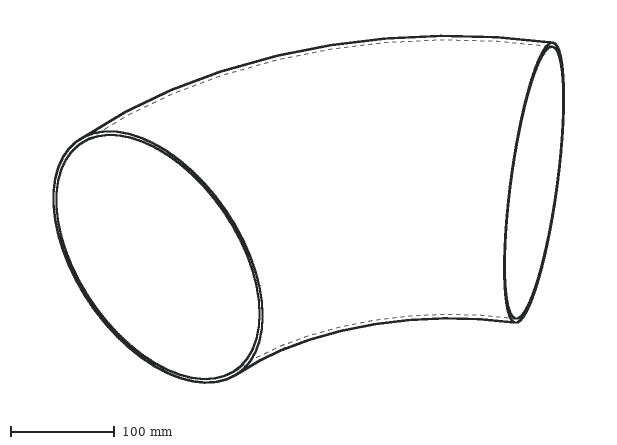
import cadquery as cq
import math

overall_length = 448.0
outer_diameter = 273.0
wall_thickness = 4.0
bend_angle = 60.0

outer_radius = outer_diameter / 2
inner_radius = outer_radius - wall_thickness
bend_radius = overall_length / math.sin(math.radians(bend_angle)) - outer_radius


def make_elbow():
    """Sweep the pipe ring about a Z-parallel axis on the +X side of the inlet."""
    ring = cq.Workplane("XZ").circle(outer_radius).circle(inner_radius)
    return ring.revolve(bend_angle, (bend_radius, 0), (bend_radius, -1))


result = make_elbow()